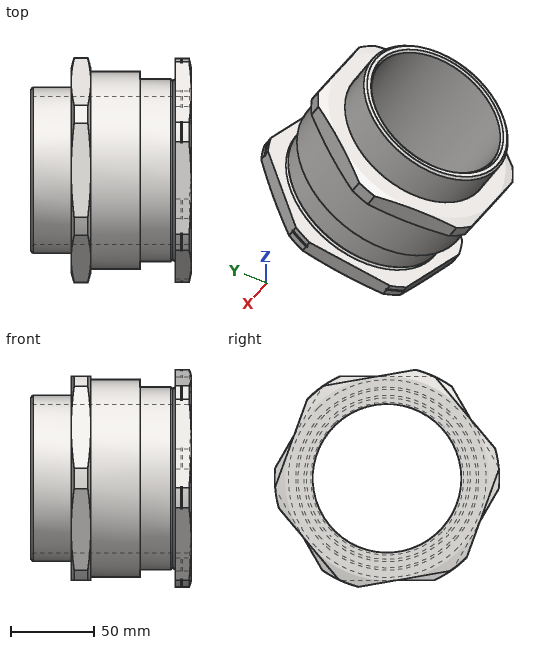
import cadquery as cq
import math

total_length = 96.5
flange_start = 24.3
flange_width = 11.8
flange_end = flange_start + flange_width
body_end = 65.7
neck_end = 85.5
nut_width = 9.7
nut_start = total_length - nut_width

spigot_radius = 50.0
body_radius = 59.5
neck_radius = 55.0
bore_radius = 44.6
hex_corner_radius = 67.6
hex_flat_radius = 61.4

spigot_chamfer = 1.5
bore_chamfer = 1.4
neck_chamfer = 1.4

flange_chamfer = 1.8
nut_chamfer = 1.4
nut_rotation = 10.0
nut_groove_offset = 3.5
nut_groove_width = 0.7
nut_groove_depth = 0.3

x_start = -total_length / 2


def cylinder(start, end, radius):
    plane = cq.Workplane("YZ", origin=(x_start + start, 0, 0))
    return plane.circle(radius).extrude(end - start)


def revolve_profile(points):
    """Revolve a closed (station, radius) outline about the X axis."""
    outline = [(x_start + station, radius) for station, radius in points]
    return cq.Workplane("XY").polyline(outline).close().revolve(360, (0, 0, 0), (1, 0, 0))


def hex_prism(start, end):
    """Hexagonal prism with two flats facing +Z and -Z."""
    across_corners = 2 * hex_flat_radius / math.cos(math.radians(30))
    plane = cq.Workplane("YZ", origin=(x_start + start, 0, 0))
    return plane.polygon(6, across_corners).extrude(end - start)


def make_spigot():
    spigot = cylinder(0, flange_start, spigot_radius)
    return spigot.faces("<X").chamfer(spigot_chamfer)


def make_flange():
    rounding = revolve_profile([
        (flange_start, 0),
        (flange_start, hex_flat_radius),
        (flange_start + flange_chamfer, hex_corner_radius),
        (flange_end - flange_chamfer, hex_corner_radius),
        (flange_end, hex_flat_radius),
        (flange_end, 0),
    ])
    return hex_prism(flange_start, flange_end).intersect(rounding)


def make_neck():
    """Neck whose far edge and the nut's shoulder form a V-groove."""
    valley_radius = neck_radius - neck_chamfer
    return revolve_profile([
        (body_end, 0),
        (body_end, neck_radius),
        (neck_end - neck_chamfer, neck_radius),
        (neck_end, valley_radius),
        (nut_start, neck_radius),
        (nut_start, 0),
    ])


def make_nut():
    groove_start = nut_start + nut_groove_offset
    groove_end = groove_start + nut_groove_width
    groove_radius = hex_corner_radius - nut_groove_depth
    rounding = revolve_profile([
        (nut_start, 0),
        (nut_start, hex_corner_radius),
        (groove_start, hex_corner_radius),
        (groove_start, groove_radius),
        (groove_end, groove_radius),
        (groove_end, hex_corner_radius),
        (total_length - nut_chamfer, hex_corner_radius),
        (total_length, hex_flat_radius),
        (total_length, 0),
    ])
    nut = hex_prism(nut_start, total_length).intersect(rounding)
    return nut.rotate((0, 0, 0), (1, 0, 0), nut_rotation)


def make_bore():
    mouth_radius = bore_radius + bore_chamfer
    return revolve_profile([
        (0, 0),
        (0, mouth_radius),
        (bore_chamfer, bore_radius),
        (total_length, bore_radius),
        (total_length, 0),
    ])


result = (
    make_spigot()
    .union(make_flange())
    .union(cylinder(flange_end, body_end, body_radius))
    .union(make_neck())
    .union(make_nut())
    .cut(make_bore())
)